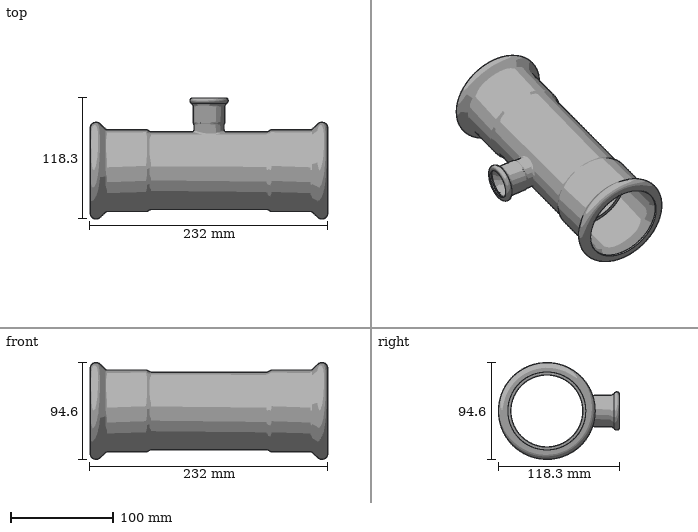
import cadquery as cq
import math

PICK_MARGIN = 0.2
X_AXIS = ((0, 0, 0), (1, 0, 0))

length = 232.0
run = dict(
    reach=length / 2,
    pipe_radius=38.0,
    bore_radius=35.0,
    socket_radius=40.02,
    wall=1.97,
    bead_outer_radius=47.3,
    bead_radius=5.8,
    bead_end=10.0,
    flare_end=15.8,
    socket_end=55.5,
    taper_end=59.0,
    blend=2.3,
)

branch = dict(
    reach=71.0,
    pipe_radius=14.8,
    bore_radius=12.5,
    socket_radius=15.5,
    wall=1.5,
    bead_outer_radius=18.8,
    bead_radius=2.8,
    bead_end=5.3,
    flare_end=8.0,
    socket_end=24.4,
    taper_end=25.8,
    blend=1.9,
)
root_blend = 1.6


def bead_points(size, inset):
    """Start, crest and end of the bead arc, moved inward by the inset, as (depth, radius)."""
    bead = size["bead_radius"]
    centre = size["bead_outer_radius"] - bead
    radius = bead - inset
    end_angle = math.acos((size["bead_end"] - bead) / bead)
    start = (inset, centre)
    crest = (bead, centre + radius)
    end = (bead + radius * math.cos(end_angle), centre + radius * math.sin(end_angle))
    return start, crest, end


def fillet_ring(solid, depth, radius, blend):
    """Round the circular edge of the given depth and radius around the X axis."""
    ring = cq.selectors.BoxSelector(
        (depth - PICK_MARGIN, -radius, -radius),
        (depth + PICK_MARGIN, radius, radius),
    )
    return solid.edges(ring).fillet(blend)


def socket_body(size):
    """Solid outside shape about +X: bead, flare, socket, taper and pipe."""
    start, crest, end = bead_points(size, 0)
    corners = (
        (size["flare_end"], size["socket_radius"]),
        (size["socket_end"], size["socket_radius"]),
        (size["taper_end"], size["pipe_radius"]),
    )
    body = (
        cq.Workplane("XY")
        .lineTo(*start)
        .threePointArc(crest, end)
        .lineTo(*corners[0])
        .lineTo(*corners[1])
        .lineTo(*corners[2])
        .lineTo(size["reach"], size["pipe_radius"])
        .lineTo(size["reach"], 0)
        .close()
        .revolve(360, *X_AXIS)
    )
    for depth, radius in corners:
        body = fillet_ring(body, depth, radius, size["blend"])
    return body


def socket_cavity(size):
    """Hollow about +X: mouth, seal groove inside the bead, socket, flat pipe stop and narrower bore."""
    wall = size["wall"]
    mouth_radius = size["socket_radius"] - wall
    start, crest, end = bead_points(size, wall)
    outer_end = bead_points(size, 0)[2]
    flare_angle = math.atan2(outer_end[1] - size["socket_radius"], size["flare_end"] - outer_end[0])
    flare_end = size["flare_end"] - wall * math.tan(flare_angle / 2)
    cavity = (
        cq.Workplane("XY")
        .lineTo(0, mouth_radius)
        .lineTo(wall, mouth_radius)
        .lineTo(*start)
        .threePointArc(crest, end)
        .lineTo(flare_end, mouth_radius)
        .lineTo(size["socket_end"], mouth_radius)
        .lineTo(size["socket_end"], size["bore_radius"])
        .lineTo(size["reach"], size["bore_radius"])
        .lineTo(size["reach"], 0)
        .close()
        .revolve(360, *X_AXIS)
    )
    return fillet_ring(cavity, flare_end, mouth_radius, size["blend"] + wall)


def both_ends(half):
    """Place a half of the run with its mouth at -X and join its mirror image."""
    placed = half.translate((-length / 2, 0, 0))
    return placed.union(placed.mirror("YZ"))


def to_branch(shape):
    """Move a shape lying along +X to the branch, with its mouth facing +Y."""
    return shape.rotate((0, 0, 0), (0, 0, 1), -90).translate((0, branch["reach"], 0))


tee = both_ends(socket_body(run)).union(to_branch(socket_body(branch)))

neck_radius = branch["pipe_radius"]
root = cq.selectors.BoxSelector(
    (-neck_radius, run["bore_radius"] - PICK_MARGIN, -neck_radius),
    (neck_radius, run["pipe_radius"] + PICK_MARGIN, neck_radius),
)
tee = tee.edges(root).fillet(root_blend)

result = tee.cut(both_ends(socket_cavity(run))).cut(to_branch(socket_cavity(branch)))